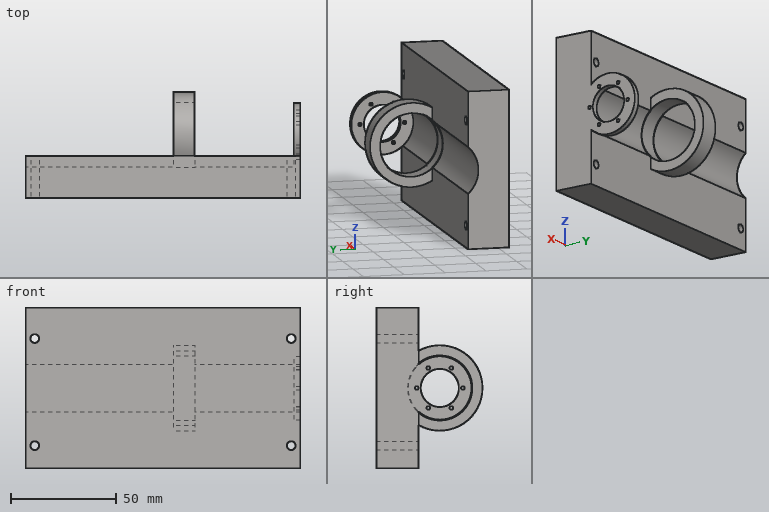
import cadquery as cq

length = 130.2
depth = 20.0
height = 76.2

overall_depth = 50.4
ring_radius = 20.3
axis_y = overall_depth - ring_radius

ring_start = 70.0
ring_width = 10.0
ring_bore_radius = 15.4

flange_radius = 15.1
flange_thickness = 3.1
flange_bore_radius = 9.0
bolt_circle_radius = 11.0
bolt_hole_diameter = 1.5
bolt_count = 6

mount_hole_diameter = 4.0
mount_edge_distance = 4.3
mount_spacing_z = 50.8
mount_offset_z = -2.0


def axis_plane(x):
    """Plane across the ring axis at x: local x is Y, local y is Z."""
    return cq.Workplane("YZ", origin=(x, axis_y, 0))


def axis_cylinder(x, radius, width):
    return axis_plane(x).circle(radius).extrude(width)


def make_block():
    block = cq.Workplane("XY").box(length, depth, height, centered=(False, False, True))
    mounting_holes = (
        cq.Workplane("XZ", origin=(length / 2, 0, mount_offset_z))
        .rarray(length - 2 * mount_edge_distance, mount_spacing_z, 2, 2)
        .circle(mount_hole_diameter / 2)
        .extrude(-depth)
    )
    return block.cut(mounting_holes)


def make_flange():
    flange_start = length - flange_thickness
    bolt_holes = (
        axis_plane(flange_start)
        .polarArray(bolt_circle_radius, 0, 360, bolt_count)
        .circle(bolt_hole_diameter / 2)
        .extrude(flange_thickness)
    )
    flange = axis_cylinder(flange_start, flange_radius, flange_thickness)
    bore = axis_cylinder(flange_start, flange_bore_radius, flange_thickness)
    return flange.cut(bore).cut(bolt_holes)


groove = axis_cylinder(0, flange_radius, length)
ring_bore = axis_cylinder(ring_start, ring_bore_radius, ring_width)

result = (
    make_block()
    .cut(groove)
    .union(axis_cylinder(ring_start, ring_radius, ring_width))
    .cut(ring_bore)
    .union(make_flange())
)